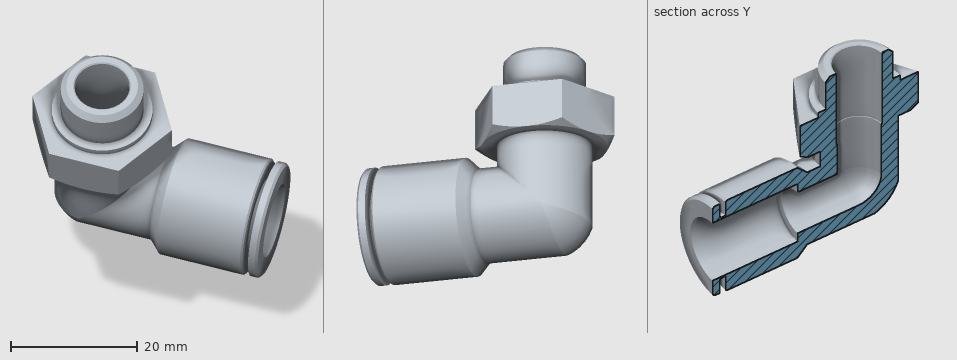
import cadquery as cq
import math


tube_diameter = 15.2
tube_radius = tube_diameter / 2
bore_diameter = 8.5
corner_ball_offset = 0.44

hex_bottom = 10.6
hex_top = 18.0
seal_top = 19.0
thread_top = 25.5
hex_across_flats = 20.0
hex_across_corners = hex_across_flats / math.cos(math.radians(30))
hex_chamfer_angle = 30.0
seal_diameter = 16.0
thread_diameter = 13.16
thread_chamfer = 0.9
thread_bore_diameter = 8.77
thread_bore_chamfer = 0.2

overall_length = 40.05
collar_end = overall_length - hex_across_corners / 2
collar_flange_thickness = 1.5
collar_flange_start = collar_end - collar_flange_thickness
collar_flange_diameter = 18.8
collar_flange_chamfer = 0.4
collar_neck_diameter = 12.8
collar_neck_flare = 0.25
socket_diameter = 19.0
socket_shoulder_end = 12.0
socket_end = 26.0
socket_chamfer = 0.3
hose_diameter = 12.0

UP = cq.Vector(0, 0, 1)
ALONG = cq.Vector(1, 0, 0)


def cylinder(diameter, start, end, axis):
    """Cylinder centred on an axis through the origin, between two positions on it."""
    return cq.Workplane(cq.Solid.makeCylinder(diameter / 2, end - start, axis * start, axis))


def cone(start_diameter, end_diameter, start, end, axis):
    """Truncated cone centred on an axis through the origin, between two positions on it."""
    return cq.Workplane(
        cq.Solid.makeCone(start_diameter / 2, end_diameter / 2, end - start, axis * start, axis)
    )


def make_mitre_wedge(reach, square_corner):
    """Prism on one side of the 45 degree mitre plane, given its far corner off that plane."""
    outer_corner = (-tube_radius, -tube_radius)
    return (
        cq.Workplane("XZ")
        .polyline([outer_corner, (reach, reach), square_corner])
        .close()
        .extrude(tube_radius, both=True)
    )


def make_elbow():
    """Two equal tubes mitred at 45 degrees, with the outer corner rounded by a ball."""
    upright = cylinder(tube_diameter, -tube_radius, hex_bottom, UP).intersect(
        make_mitre_wedge(hex_bottom, (-tube_radius, hex_bottom))
    )
    level = cylinder(tube_diameter, -tube_radius, socket_shoulder_end, ALONG).intersect(
        make_mitre_wedge(socket_shoulder_end, (socket_shoulder_end, -tube_radius))
    )

    ball = cq.Workplane("XY").sphere(tube_radius)
    corner_waste = (
        cq.Workplane("XY")
        .box(tube_diameter, tube_diameter, tube_diameter)
        .translate((-tube_radius, 0, -tube_radius))
        .cut(ball)
        .translate((-corner_ball_offset, 0, -corner_ball_offset))
    )
    return upright.union(level).cut(corner_waste)


def make_hex():
    """Hexagon with corners on the X axis and its lower corners turned off by a cone."""
    height = hex_top - hex_bottom
    prism = cq.Workplane("XY").workplane(offset=hex_bottom).polygon(6, hex_across_corners).extrude(height)
    cone_growth = height / math.tan(math.radians(hex_chamfer_angle))
    turned_envelope = cone(
        hex_across_flats, hex_across_flats + 2 * cone_growth, hex_bottom, hex_top, UP
    )
    return prism.intersect(turned_envelope)


def make_screw_end():
    """Hexagon, seal ring and threaded spigot, stacked upward."""
    seal = cylinder(seal_diameter, hex_top, seal_top, UP)
    spigot = cylinder(thread_diameter, hex_top, thread_top, UP).faces(">Z").chamfer(thread_chamfer)
    return make_hex().union(seal).union(spigot)


def make_socket():
    """Hose socket with a 45 degree shoulder on the elbow side."""
    shoulder_length = (socket_diameter - tube_diameter) / 2
    shoulder_start = socket_shoulder_end - shoulder_length
    shoulder = cone(tube_diameter, socket_diameter, shoulder_start, socket_shoulder_end, ALONG)
    barrel = cylinder(socket_diameter, socket_shoulder_end, socket_end, ALONG)
    return shoulder.union(barrel.faces(">X").chamfer(socket_chamfer))


def make_collar():
    """Release collar: a neck that flares into a flange standing clear of the socket."""
    flare_start = collar_flange_start - collar_neck_flare
    flare_diameter = collar_neck_diameter + 2 * collar_neck_flare
    neck = cylinder(collar_neck_diameter, socket_end, flare_start, ALONG)
    flare = cone(collar_neck_diameter, flare_diameter, flare_start, collar_flange_start, ALONG)
    flange = cylinder(collar_flange_diameter, collar_flange_start, collar_end, ALONG)
    return neck.union(flare).union(flange.faces(">X").chamfer(collar_flange_chamfer))


def make_passage():
    """Bores from both ends, meeting in a ball where the axes cross."""
    upright = cylinder(bore_diameter, 0, thread_top, UP)
    level = cylinder(bore_diameter, 0, socket_end, ALONG)
    ball = cq.Workplane("XY").sphere(bore_diameter / 2)

    thread_bore = cylinder(thread_bore_diameter, hex_bottom, thread_top, UP)
    mouth_diameter = thread_bore_diameter + 2 * thread_bore_chamfer
    mouth_start = thread_top - thread_bore_chamfer
    mouth = cone(thread_bore_diameter, mouth_diameter, mouth_start, thread_top, UP)

    hose_hole = cylinder(hose_diameter, socket_shoulder_end, collar_end, ALONG)
    return upright.union(level).union(ball).union(thread_bore).union(mouth).union(hose_hole)


outside = make_elbow().union(make_screw_end()).union(make_socket()).union(make_collar())
result = outside.cut(make_passage())